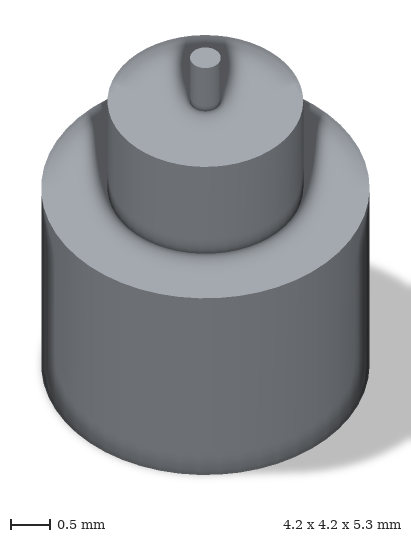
import cadquery as cq

total_height = 5.3
body_diameter = 4.2
body_height = 3.055
collar_diameter = 2.5
collar_height = 1.5
pin_diameter = 0.39

pin_height = total_height - body_height - collar_height


def add_cylinder(base, diameter, height):
    """Stack a centred cylinder on the top face of the base."""
    return base.faces(">Z").workplane().circle(diameter / 2).extrude(height)


body = cq.Workplane("XY").circle(body_diameter / 2).extrude(body_height)

body_with_collar = add_cylinder(body, collar_diameter, collar_height)
result = add_cylinder(body_with_collar, pin_diameter, pin_height)